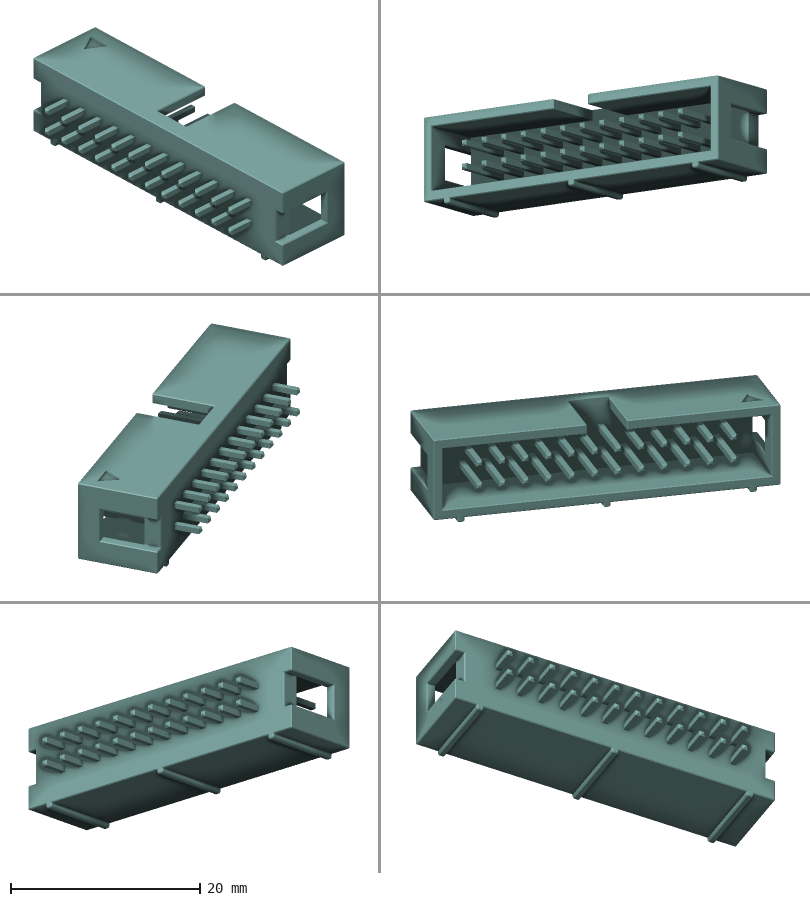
import cadquery as cq
LENGTH = 38.08
DEPTH = 9.1
HEIGHT = 9.1
BASE_THICKNESS = 1.95
END_WALL = 1.0
SIDE_WALL = 1.1
EDGE_CHAMFER = 0.1

END_SLOT_HEIGHT = 3.8
END_SLOT_REACH = 6.55
BASE_END_INSET = 1.1

NOTCH_WIDTH = 4.4

PIN_COLUMNS = 12
PIN_ROWS = 2
PIN_PITCH = 2.54
PIN_SIZE = 0.64
PIN_TAIL = 3.0
PIN_TIP_GAP = 0.1
PIN_CHAMFER = 0.2

RIB_POSITIONS = (-16.05, 0, 16.05)
RIB_WIDTH = 0.8
RIB_HEIGHT = 0.5
RIB_CHAMFER = 0.15
RIB_ROOT = 0.5

MARK_WIDTH = 2.65
MARK_LENGTH = 2.3
MARK_DEPTH = 0.2
MARK_TAPER = 20
MARK_END_OFFSET = 2.5
MARK_MOUTH_OFFSET = 1.75

CAVITY_LENGTH = LENGTH - 2 * END_WALL
CAVITY_HEIGHT = HEIGHT - 2 * SIDE_WALL
CAVITY_DEPTH = DEPTH - BASE_THICKNESS
MARK_CENTER_X = -LENGTH / 2 + MARK_END_OFFSET
MARK_BASE_Y = DEPTH - MARK_MOUTH_OFFSET


def box(x_size, y_size, z_size, x_center, y_start, z_center):
    """Box centred in X and Z that starts at y_start and grows toward +Y."""
    return (
        cq.Workplane("XY")
        .box(x_size, y_size, z_size, centered=(True, False, True))
        .translate((x_center, y_start, z_center))
    )


def make_rib(x):
    center_z = (RIB_ROOT - RIB_HEIGHT - HEIGHT) / 2
    rib = box(RIB_WIDTH, DEPTH, RIB_HEIGHT + RIB_ROOT, x, 0, center_z)
    return rib.faces("<Z").edges("|Y").chamfer(RIB_CHAMFER)


def make_end_slot(side):
    """Slot through one end; side is -1 for the -X end and 1 for the +X end."""
    return box(2 * BASE_END_INSET, END_SLOT_REACH, END_SLOT_HEIGHT, side * LENGTH / 2, 0, 0)


def make_notch():
    return box(NOTCH_WIDTH, CAVITY_DEPTH, 2 * SIDE_WALL, 0, BASE_THICKNESS, HEIGHT / 2)


def make_cavity():
    return box(CAVITY_LENGTH, CAVITY_DEPTH, CAVITY_HEIGHT, 0, BASE_THICKNESS, 0)


def make_housing():
    """Hollow box with ribs, chamfered around its end, base and mouth faces and along the notch."""
    housing = box(LENGTH, DEPTH, HEIGHT, 0, 0, 0)
    for rib_x in RIB_POSITIONS:
        housing = housing.union(make_rib(rib_x))
    for side in (-1, 1):
        housing = housing.cut(make_end_slot(side))
    housing = housing.cut(make_cavity()).cut(make_notch())
    face_edges = housing.faces("<X or >X or <Y or >Y").edges()
    notch_sides = housing.faces(">Z").edges("|Y")
    return face_edges.add(notch_sides).chamfer(EDGE_CHAMFER)


def make_mark():
    return (
        cq.Workplane("XY", origin=(MARK_CENTER_X, MARK_BASE_Y, HEIGHT / 2))
        .moveTo(-MARK_WIDTH / 2, 0)
        .lineTo(MARK_WIDTH / 2, 0)
        .lineTo(0, -MARK_LENGTH)
        .close()
        .extrude(-MARK_DEPTH, taper=MARK_TAPER)
    )


def make_pin(x, z):
    length = PIN_TAIL + DEPTH - PIN_TIP_GAP
    pin = box(PIN_SIZE, length, PIN_SIZE, x, -PIN_TAIL, z)
    return pin.faces("<Y or >Y").edges().chamfer(PIN_CHAMFER)


result = make_housing().cut(make_mark())

for column in range(PIN_COLUMNS):
    for row in range(PIN_ROWS):
        pin_x = (column - (PIN_COLUMNS - 1) / 2) * PIN_PITCH
        pin_z = (row - (PIN_ROWS - 1) / 2) * PIN_PITCH
        result = result.union(make_pin(pin_x, pin_z))